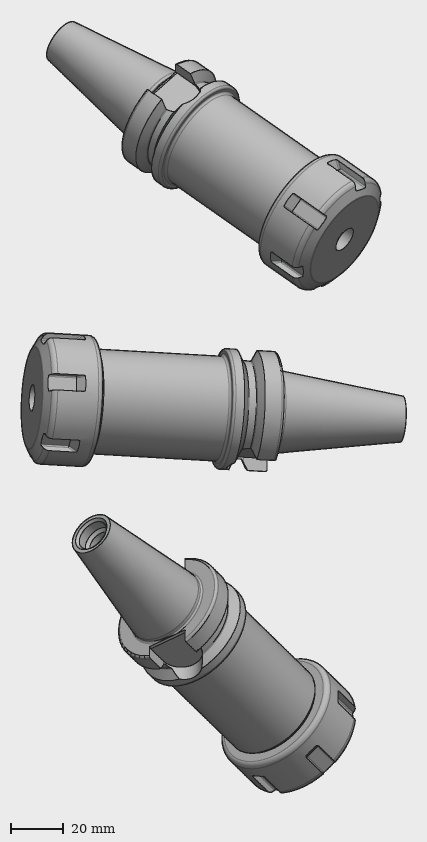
import cadquery as cq
import math


TAPER_LENGTH = 48.4
GAUGE_RADIUS = 31.75 / 2
TAPER_RATE = 7 / 24
SMALL_END_RADIUS = GAUGE_RADIUS - TAPER_LENGTH * TAPER_RATE / 2

FLANGE_START = 2.0
FLANGE_END = 22.0
FLANGE_RADIUS = 23.0
FLANGE_FILLET = 1.0
SHANK_FILLET = 0.7
GROOVE_CENTRE = 13.6
GROOVE_WIDTH = 8.0
GROOVE_DEPTH = 4.0
GROOVE_WALL_ANGLE = math.radians(30)
GROOVE_FILLET = 0.4
GROOVE_BOTTOM_WIDTH = GROOVE_WIDTH - 2 * GROOVE_DEPTH * math.tan(GROOVE_WALL_ANGLE)
GROOVE_BOTTOM_RADIUS = FLANGE_RADIUS - GROOVE_DEPTH

DRIVE_SLOT_WIDTH = 16.4
DRIVE_SLOT_FLOOR = 16.3
DRIVE_SLOT_END = 19.4
DRIVE_SLOT_LEAD_LENGTH = 0.9
DRIVE_SLOT_LEAD_DROP = 0.4

OVERALL_LENGTH = 143.68
FRONT_FACE = OVERALL_LENGTH - TAPER_LENGTH
NUT_LENGTH = 22.5
NUT_START = FRONT_FACE - NUT_LENGTH
BODY_RADIUS = 20.0
NECK_LENGTH = 0.6
BODY_CHAMFER = 0.5
SPIGOT_RADIUS = 19.2
BODY_END = NUT_START - NECK_LENGTH
NUT_LIP = 4.5
SPIGOT_END = FRONT_FACE - NUT_LIP

BORE_RADIUS = 5.0
PILOT_RADIUS = 6.25
PILOT_DEPTH = 5.0
PILOT_CHAMFER = 1.0

NUT_RADIUS = 25.0
NUT_REAR_FILLET = 2.0
NUT_NOSE_FILLET = 2.5
NUT_FACE_FILLET = 0.6
NUT_NOSE_LENGTH = 4.63
NUT_NOSE_ANGLE = math.radians(60)

SPANNER_SLOT_COUNT = 6
SPANNER_SLOT_WIDTH = 6.4
SPANNER_SLOT_FILLET = 0.5
SPANNER_SLOT_DEPTH = 3.0
LONG_SLOT_SETBACK = 4.8
SHORT_SLOT_SETBACK = 7.0
LONG_SLOT_ANGLES = (60, 120)

MATCH_TOLERANCE = 0.01


def revolve_about_x(outline):
    return outline.close().revolve(360, (0, 0, 0), (1, 0, 0))


def fillet_circles(body, circles, fillet_radius):
    """Round the circular edges given as (axial position, radius) pairs."""
    def is_listed(edge):
        if edge.geomType() != "CIRCLE":
            return False
        centre = edge.arcCenter()
        return any(
            abs(centre.x - position) < MATCH_TOLERANCE and abs(edge.radius() - radius) < MATCH_TOLERANCE
            for position, radius in circles
        )

    return body.edges().filter(is_listed).fillet(fillet_radius)


def make_holder_blank():
    groove_left = GROOVE_CENTRE - GROOVE_WIDTH / 2
    groove_right = GROOVE_CENTRE + GROOVE_WIDTH / 2
    bottom_left = GROOVE_CENTRE - GROOVE_BOTTOM_WIDTH / 2
    bottom_right = GROOVE_CENTRE + GROOVE_BOTTOM_WIDTH / 2
    blank = revolve_about_x(
        cq.Workplane("XY")
        .moveTo(-TAPER_LENGTH, 0)
        .lineTo(-TAPER_LENGTH, SMALL_END_RADIUS)
        .lineTo(0, GAUGE_RADIUS)
        .lineTo(FLANGE_START, GAUGE_RADIUS)
        .lineTo(FLANGE_START, FLANGE_RADIUS)
        .lineTo(groove_left, FLANGE_RADIUS)
        .lineTo(bottom_left, GROOVE_BOTTOM_RADIUS)
        .lineTo(bottom_right, GROOVE_BOTTOM_RADIUS)
        .lineTo(groove_right, FLANGE_RADIUS)
        .lineTo(FLANGE_END, FLANGE_RADIUS)
        .lineTo(FLANGE_END, BODY_RADIUS)
        .lineTo(BODY_END - BODY_CHAMFER, BODY_RADIUS)
        .lineTo(BODY_END, BODY_RADIUS - BODY_CHAMFER)
        .lineTo(BODY_END, SPIGOT_RADIUS)
        .lineTo(SPIGOT_END, SPIGOT_RADIUS)
        .lineTo(SPIGOT_END, 0)
    )
    flange_corners = (
        (FLANGE_START, FLANGE_RADIUS),
        (FLANGE_END, FLANGE_RADIUS),
        (FLANGE_END, BODY_RADIUS),
    )
    blank = fillet_circles(blank, ((FLANGE_START, GAUGE_RADIUS),), SHANK_FILLET)
    blank = fillet_circles(blank, flange_corners, FLANGE_FILLET)
    groove_corners = ((bottom_left, GROOVE_BOTTOM_RADIUS), (bottom_right, GROOVE_BOTTOM_RADIUS))
    return fillet_circles(blank, groove_corners, GROOVE_FILLET)


def make_drive_slot():
    """Cutter for the +Z drive slot: round at its far end, bevelled where its floor meets the shank."""
    end_radius = DRIVE_SLOT_WIDTH / 2
    arc_centre = DRIVE_SLOT_END - end_radius
    slot = (
        cq.Workplane("XY", origin=(0, 0, DRIVE_SLOT_FLOOR))
        .moveTo(0, -end_radius)
        .lineTo(arc_centre, -end_radius)
        .threePointArc((DRIVE_SLOT_END, 0), (arc_centre, end_radius))
        .lineTo(0, end_radius)
        .close()
        .extrude(FLANGE_RADIUS - DRIVE_SLOT_FLOOR)
    )
    lead_in = (
        cq.Workplane("XZ")
        .moveTo(0, DRIVE_SLOT_FLOOR)
        .lineTo(0, DRIVE_SLOT_FLOOR - DRIVE_SLOT_LEAD_DROP)
        .lineTo(FLANGE_START, DRIVE_SLOT_FLOOR - DRIVE_SLOT_LEAD_DROP)
        .lineTo(FLANGE_START + DRIVE_SLOT_LEAD_LENGTH, DRIVE_SLOT_FLOOR)
        .close()
        .extrude(end_radius, both=True)
    )
    return slot.union(lead_in)


def make_bore():
    """Cutter for the through bore with its chamfered pilot at the small end."""
    pilot_end = -TAPER_LENGTH + PILOT_DEPTH
    return revolve_about_x(
        cq.Workplane("XY")
        .moveTo(-TAPER_LENGTH, 0)
        .lineTo(-TAPER_LENGTH, PILOT_RADIUS + PILOT_CHAMFER)
        .lineTo(-TAPER_LENGTH + PILOT_CHAMFER, PILOT_RADIUS)
        .lineTo(pilot_end, PILOT_RADIUS)
        .lineTo(pilot_end + PILOT_RADIUS - BORE_RADIUS, BORE_RADIUS)
        .lineTo(FRONT_FACE, BORE_RADIUS)
        .lineTo(FRONT_FACE, 0)
    )


def make_holder():
    holder = make_holder_blank()
    drive_slot = make_drive_slot()
    for angle in (0, 180):
        holder = holder.cut(drive_slot.rotate((0, 0, 0), (1, 0, 0), angle))
    return holder.cut(make_bore())


def make_nut_blank():
    """Cup-shaped nut whose nose is a steep cone blended into the outer cylinder."""
    nose_start = FRONT_FACE - NUT_NOSE_LENGTH
    blend_length = NUT_NOSE_FILLET * math.sin(NUT_NOSE_ANGLE)
    blend_drop = NUT_NOSE_FILLET * (1 - math.cos(NUT_NOSE_ANGLE))
    cone_start_radius = NUT_RADIUS - blend_drop
    front_radius = cone_start_radius - (NUT_NOSE_LENGTH - blend_length) * math.tan(NUT_NOSE_ANGLE)
    blank = revolve_about_x(
        cq.Workplane("XY")
        .moveTo(NUT_START, SPIGOT_RADIUS)
        .lineTo(NUT_START, NUT_RADIUS)
        .lineTo(nose_start, NUT_RADIUS)
        .tangentArcPoint((nose_start + blend_length, cone_start_radius), relative=False)
        .lineTo(FRONT_FACE, front_radius)
        .lineTo(FRONT_FACE, BORE_RADIUS)
        .lineTo(SPIGOT_END, BORE_RADIUS)
        .lineTo(SPIGOT_END, SPIGOT_RADIUS)
    )
    blank = fillet_circles(blank, ((FRONT_FACE, front_radius),), NUT_FACE_FILLET)
    return fillet_circles(blank, ((NUT_START, NUT_RADIUS),), NUT_REAR_FILLET)


def make_spanner_slot(setback):
    """Cutter for the slot on the -Y side: flat floor, 45 degree rear ramp, open at the nose."""
    slot_start = NUT_START + setback
    floor_radius = NUT_RADIUS - SPANNER_SLOT_DEPTH
    return (
        cq.Workplane("XY")
        .moveTo(slot_start, -NUT_RADIUS)
        .lineTo(slot_start + SPANNER_SLOT_DEPTH, -floor_radius)
        .lineTo(FRONT_FACE, -floor_radius)
        .lineTo(FRONT_FACE, -NUT_RADIUS)
        .close()
        .extrude(SPANNER_SLOT_WIDTH / 2, both=True)
        .faces("<X or >Y")
        .edges("not |Z")
        .fillet(SPANNER_SLOT_FILLET)
    )


def make_nut():
    """Nut with its spanner slots; the two slots on the +Z side reach further back."""
    nut = make_nut_blank()
    slot_pitch = 360 // SPANNER_SLOT_COUNT
    for angle in range(0, 360, slot_pitch):
        setback = LONG_SLOT_SETBACK if angle in LONG_SLOT_ANGLES else SHORT_SLOT_SETBACK
        slot = make_spanner_slot(setback)
        nut = nut.cut(slot.rotate((0, 0, 0), (1, 0, 0), -angle))
    return nut


holder = make_holder()
nut = make_nut()

result = cq.Compound.makeCompound([holder.val(), nut.val()])